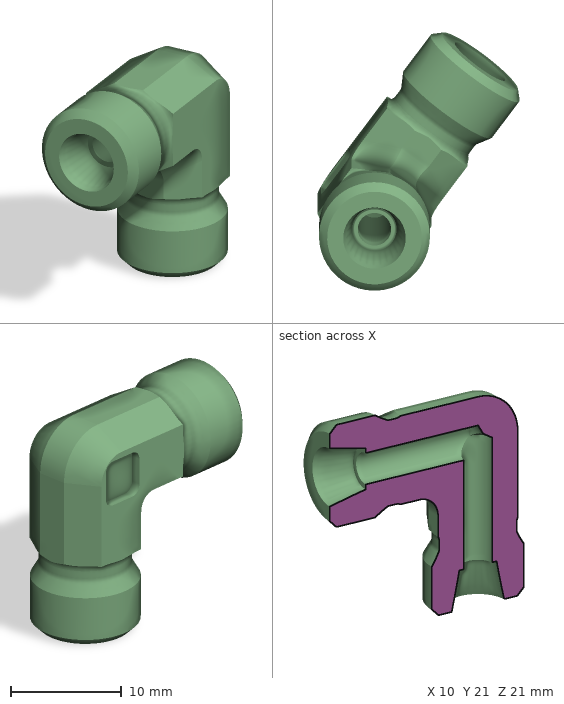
import cadquery as cq
import math

leg_length = 16.0

body_half_width = 4.5
body_half_depth = 4.33
narrow_face_half = 1.5
slant_angle = math.radians(30)
side_face_half = body_half_depth - (body_half_width - narrow_face_half) * math.tan(slant_angle)
half_section = [
    (body_half_width, side_face_half),
    (narrow_face_half, body_half_depth),
    (-narrow_face_half, body_half_depth),
    (-body_half_width, side_face_half),
]
body_end = 8.0
inner_bend_radius = 2.0

neck_radius = 4.2
neck_root_radius = 0.8
neck_start = body_end + neck_root_radius
thread_radius = 5.0
thread_start = 11.1
thread_cone_angle = math.radians(30)
neck_cone_blend = 0.7
end_chamfer = 0.74

bore_diameter = 3.0
drill_tip_half_angle = math.radians(59)
seat_mouth_diameter = 5.63
seat_floor_diameter = 4.0
seat_half_angle = math.radians(12)

panel_size = 4.37
panel_center_y = -0.17
panel_center_z = -0.17
panel_corner_radius = 0.9
panel_depth = 0.92


def along_y(solid):
    """Turn a solid built along -Z so that it runs along -Y."""
    return solid.rotate((0, 0, 0), (1, 0, 0), -90)


def revolve_about_z(profile):
    """Revolve a closed (radius, z) profile fully about the Z axis."""
    return profile.close().revolve(360, (0, 0, 0), (0, 1, 0))


def make_body_leg():
    """Octagonal bar whose end is hollowed by turning down to the neck radius."""
    other_half = [(-x, -y) for x, y in half_section]
    bar = cq.Workplane("XY").polyline(half_section + other_half).close().extrude(-neck_start)

    clear_radius = body_half_width + body_half_depth
    root_middle = neck_root_radius * (1 - math.sqrt(0.5))
    turned_envelope = revolve_about_z(
        cq.Workplane("XZ")
        .lineTo(clear_radius, 0)
        .lineTo(clear_radius, -body_end)
        .lineTo(neck_radius + neck_root_radius, -body_end)
        .threePointArc((neck_radius + root_middle, -body_end - root_middle), (neck_radius, -neck_start))
        .lineTo(0, -neck_start)
    )
    return bar.intersect(turned_envelope)


def make_outer_bend():
    """Quarter turn of the half section, filling the +Y +Z corner."""
    return (
        cq.Workplane("XY")
        .polyline([(body_half_width, 0)] + half_section + [(-body_half_width, 0)])
        .close()
        .revolve(90, (0, 0, 0), (1, 0, 0))
    )


def make_bend_void(edge_x, face_angle):
    """Open space inside the bend, between one face of each leg, with a rounded corner.

    The two faces are tilted towards X by face_angle and meet on the plane Y = Z,
    in an edge through (edge_x, -body_half_depth, -body_half_depth).
    """
    sine = math.sin(face_angle)
    cosine = math.cos(face_angle)
    half_turn = math.acos(sine ** 2) / 2
    tangent_length = inner_bend_radius * math.tan(half_turn)
    arc_middle = inner_bend_radius * (1 / math.cos(half_turn) - 1)
    reach = leg_length

    def on_face(distance, side):
        """Point on a face, given its distance from the corner edge."""
        return (distance * math.sin(half_turn), side * distance * math.cos(half_turn))

    section_plane = cq.Plane(
        origin=(edge_x, -body_half_depth, -body_half_depth),
        xDir=(2 * sine, -cosine, -cosine),
        normal=(cosine, sine, sine),
    )
    return (
        cq.Workplane(section_plane)
        .moveTo(*on_face(reach, 1))
        .lineTo(*on_face(tangent_length, 1))
        .threePointArc((arc_middle, 0), on_face(tangent_length, -1))
        .lineTo(*on_face(reach, -1))
        .close()
        .extrude(reach, both=True)
    )


def make_inner_bend():
    """Web that rounds the inside of the bend, face by face."""
    size = body_half_depth + inner_bend_radius
    web = cq.Workplane("XY").box(2 * body_half_width, size, size).translate((0, -size / 2, -size / 2))
    web = web.cut(make_bend_void(0, 0))
    for side in (-1, 1):
        web = web.cut(make_bend_void(side * narrow_face_half, side * slant_angle))
    return web


def make_body():
    leg = make_body_leg()
    body = leg.union(along_y(leg)).union(make_outer_bend())
    return body.union(make_inner_bend()).clean()


def make_threaded_end():
    """Neck, cone and chamfered thread cylinder."""
    cone_start = thread_start - (thread_radius - neck_radius) / math.tan(thread_cone_angle)
    tangent = neck_cone_blend * math.tan(thread_cone_angle / 2)
    middle_angle = thread_cone_angle / 2
    blend_start = cone_start - tangent
    blend_middle = (
        neck_radius + neck_cone_blend * (1 - math.cos(middle_angle)),
        -blend_start - neck_cone_blend * math.sin(middle_angle),
    )
    blend_end = (
        neck_radius + tangent * math.sin(thread_cone_angle),
        -cone_start - tangent * math.cos(thread_cone_angle),
    )
    profile = (
        cq.Workplane("XZ")
        .moveTo(0, -neck_start)
        .lineTo(neck_radius, -neck_start)
        .lineTo(neck_radius, -blend_start)
        .threePointArc(blend_middle, blend_end)
        .lineTo(thread_radius, -thread_start)
        .lineTo(thread_radius, -leg_length + end_chamfer)
        .lineTo(thread_radius - end_chamfer, -leg_length)
        .lineTo(0, -leg_length)
    )
    return revolve_about_z(profile)


def make_bore():
    """Drilled bore with a conical tip past the origin and a tapered tube seat at the mouth."""
    bore_radius = bore_diameter / 2
    mouth_radius = seat_mouth_diameter / 2
    floor_radius = seat_floor_diameter / 2
    seat_depth = (mouth_radius - floor_radius) / math.tan(seat_half_angle)
    tip_height = bore_radius / math.tan(drill_tip_half_angle)
    profile = (
        cq.Workplane("XZ")
        .moveTo(0, tip_height)
        .lineTo(bore_radius, 0)
        .lineTo(bore_radius, -leg_length + seat_depth)
        .lineTo(floor_radius, -leg_length + seat_depth)
        .lineTo(mouth_radius, -leg_length)
        .lineTo(0, -leg_length)
    )
    return revolve_about_z(profile)


def make_panel_recess():
    return (
        cq.Workplane("YZ", origin=(-body_half_width, panel_center_y, panel_center_z))
        .rect(panel_size, panel_size)
        .extrude(panel_depth)
        .edges("|X")
        .fillet(panel_corner_radius)
    )


threaded_end = make_threaded_end()
bore = make_bore()

result = make_body().union(threaded_end).union(along_y(threaded_end))
result = result.cut(bore).cut(along_y(bore))
result = result.cut(make_panel_recess())